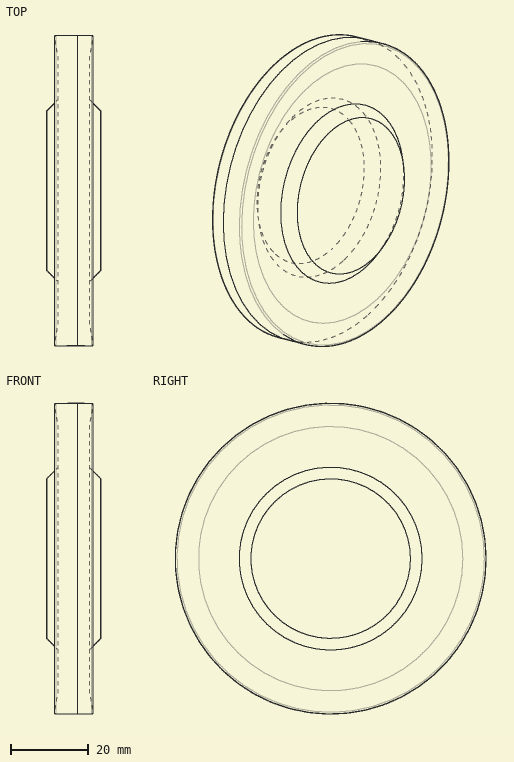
import cadquery as cq
import math

disc_diameter = 80.0
web_diameter = 68.0
hub_face_diameter = 41.0
base_depth = 8.0
cover_depth = 6.0
web_thickness = 8.0
rim_slope = 10.0
rim_fillet = 0.4

disc_radius = disc_diameter / 2
web_radius = web_diameter / 2
hub_face_radius = hub_face_diameter / 2
hub_height = (base_depth + cover_depth - web_thickness) / 2
hub_foot_radius = hub_face_radius + hub_height
rim_height = (disc_radius - web_radius) * math.tan(math.radians(rim_slope))
parting_x = (base_depth - cover_depth) / 2


def half_disc(depth, outward):
    """Half of the disc from the parting plane; outward is -1 for the -X half, +1 for the +X half."""
    hub_x = parting_x + outward * depth
    web_x = hub_x - outward * hub_height
    rim_x = web_x + outward * rim_height
    blank = (
        cq.Workplane("XY")
        .moveTo(parting_x, 0)
        .lineTo(hub_x, 0)
        .lineTo(hub_x, hub_face_radius)
        .lineTo(web_x, hub_foot_radius)
        .lineTo(web_x, web_radius)
        .lineTo(rim_x, disc_radius)
        .lineTo(parting_x, disc_radius)
        .close()
        .revolve(360, (0, 0, 0), (1, 0, 0))
    )
    largest_circles = cq.selectors.RadiusNthSelector(-1)
    outer_side = ">X" if outward > 0 else "<X"
    return blank.edges("%CIRCLE").edges(largest_circles).edges(outer_side).fillet(rim_fillet)


base = half_disc(base_depth, -1)
cover = half_disc(cover_depth, 1)

result = cq.Compound.makeCompound([base.val(), cover.val()])